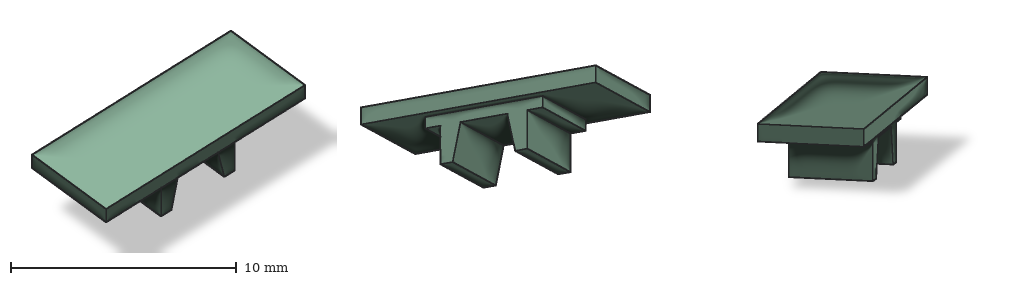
import cadquery as cq

plate_width = 4.85
plate_length = 12.0
plate_thickness = 0.8

side_inset = 0.5
pad_width = plate_width - 2 * side_inset
pad_length = 6.0
pad_thickness = 0.53

leg_height = 1.8
leg_span = 4.45
leg_root = 1.03
leg_tip = 0.63

pad_bottom = leg_height
plate_bottom = pad_bottom + pad_thickness


def block(width, length, thickness, bottom):
    """Box centred on the Z axis, standing on the given level."""
    return (
        cq.Workplane("XY")
        .workplane(offset=bottom)
        .box(width, length, thickness, centered=(True, True, False))
    )


def leg(side):
    """Leg on the +Y (side = 1) or -Y (side = -1) end, as wide as the pad."""
    outer = leg_span / 2
    profile = [
        (side * outer, pad_bottom),
        (side * outer, 0),
        (side * (outer - leg_tip), 0),
        (side * (outer - leg_root), pad_bottom),
    ]
    return cq.Workplane("YZ").polyline(profile).close().extrude(pad_width / 2, both=True)


result = block(plate_width, plate_length, plate_thickness, plate_bottom)
result = result.union(block(pad_width, pad_length, pad_thickness, pad_bottom))
for side in (-1, 1):
    result = result.union(leg(side))